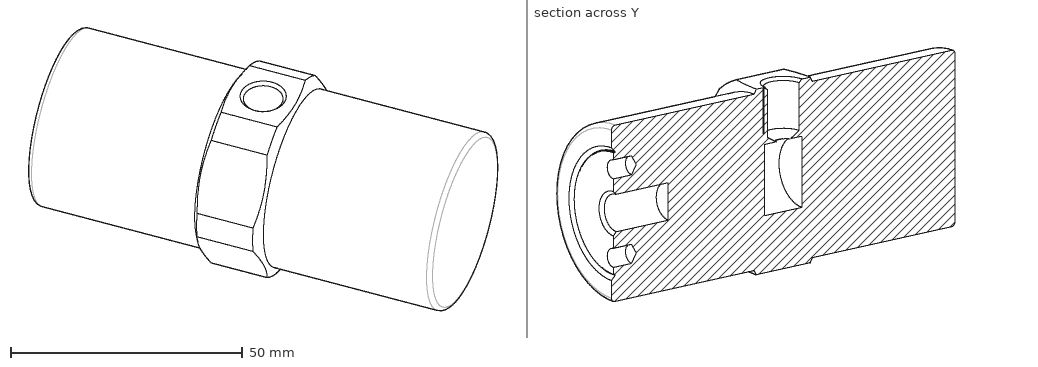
import cadquery as cq
import math

body_length = 94.0
body_diameter = 40.0
body_edge_radius = 1.0

collar_width = 16.0
collar_across_flats = 42.0
collar_corner_diameter = 45.12
collar_cone_angle = 30.0

groove_rim_diameter = 30.0
groove_floor_diameter = 28.0
groove_depth = 1.0
end_disc_diameter = 27.6
end_disc_depth = 0.5

port_mouth_diameter = 10.0
axial_port_diameter = 8.38
axial_port_depth = 15.0

top_port_diameter = 8.57
top_port_cone_angle = 118.0
breakthrough_width = 3.6

chamber_diameter = 16.0
chamber_length = 10.0

wrench_hole_diameter = 4.2
wrench_hole_depth = 5.0
wrench_hole_spacing = 20.0
wrench_hole_cone_angle = 118.0

half_length = body_length / 2
end_disc_x = end_disc_depth - half_length


def cone_height(base_diameter, top_diameter, cone_angle):
    """Height of a cone of the given full angle between two diameters."""
    return (base_diameter - top_diameter) / 2 / math.tan(math.radians(cone_angle / 2))


def revolved_about_x(points):
    """Solid turned about the X axis from (x, radius) points."""
    return cq.Workplane("XY").polyline(points).close().revolve(360, (0, 0, 0), (1, 0, 0))


def make_body():
    bar = cq.Workplane("YZ").circle(body_diameter / 2).extrude(half_length, both=True)
    return bar.faces("<X or >X").fillet(body_edge_radius)


def make_collar():
    """Hexagonal prism trimmed by a turned envelope with coned ends."""
    across_corners = collar_across_flats / math.cos(math.radians(30))
    half_width = collar_width / 2
    prism = cq.Workplane("YZ").polygon(6, across_corners).extrude(half_width, both=True)
    end_radius = body_diameter / 2
    corner_radius = collar_corner_diameter / 2
    cone_length = (corner_radius - end_radius) * math.tan(math.radians(collar_cone_angle))
    envelope = revolved_about_x([
        (-half_width, 0),
        (-half_width, end_radius),
        (cone_length - half_width, corner_radius),
        (half_width - cone_length, corner_radius),
        (half_width, end_radius),
        (half_width, 0),
    ])
    return prism.intersect(envelope)


def make_end_groove():
    """Sunken end disc with a bevelled ring groove around it."""
    groove_floor_x = groove_depth - half_length
    return revolved_about_x([
        (-half_length, 0),
        (-half_length, groove_rim_diameter / 2),
        (groove_floor_x, groove_floor_diameter / 2),
        (groove_floor_x, end_disc_diameter / 2),
        (end_disc_x, end_disc_diameter / 2),
        (end_disc_x, 0),
    ])


def make_axial_port():
    """Blind hole in the end disc, its mouth bevelled at 45 degrees."""
    port_end_x = end_disc_x + axial_port_depth
    bore_radius = axial_port_diameter / 2
    mouth_radius = port_mouth_diameter / 2
    return revolved_about_x([
        (end_disc_x, 0),
        (end_disc_x, mouth_radius),
        (end_disc_x + mouth_radius - bore_radius, bore_radius),
        (port_end_x, bore_radius),
        (port_end_x, 0),
    ])


def make_wrench_hole(z):
    """Drilled hole in the end disc at height z."""
    radius = wrench_hole_diameter / 2
    wall_end_x = end_disc_x + wrench_hole_depth
    hole = revolved_about_x([
        (end_disc_x, 0),
        (end_disc_x, radius),
        (wall_end_x, radius),
        (wall_end_x + cone_height(wrench_hole_diameter, 0, wrench_hole_cone_angle), 0),
    ])
    return hole.translate((0, 0, z))


def make_chamber():
    """Cylindrical chamber centred in the body."""
    return cq.Workplane("YZ").circle(chamber_diameter / 2).extrude(chamber_length / 2, both=True)


def make_top_port():
    """Hole down into the top flat of the collar, its cone cutting the roof of the chamber."""
    top_z = collar_across_flats / 2
    roof_z = chamber_diameter / 2
    bore_radius = top_port_diameter / 2
    mouth_radius = port_mouth_diameter / 2
    wall_end_z = roof_z + cone_height(top_port_diameter, breakthrough_width, top_port_cone_angle)
    tip_z = wall_end_z - cone_height(top_port_diameter, 0, top_port_cone_angle)
    profile = cq.Workplane("XZ").polyline([
        (0, top_z),
        (mouth_radius, top_z),
        (bore_radius, top_z - (mouth_radius - bore_radius)),
        (bore_radius, wall_end_z),
        (0, tip_z),
    ]).close()
    return profile.revolve(360, (0, 0, 0), (0, 1, 0))


result = make_body().union(make_collar())
result = result.cut(make_end_groove()).cut(make_axial_port())
result = result.cut(make_chamber()).cut(make_top_port())
for side in (-1, 1):
    result = result.cut(make_wrench_hole(side * wrench_hole_spacing / 2))